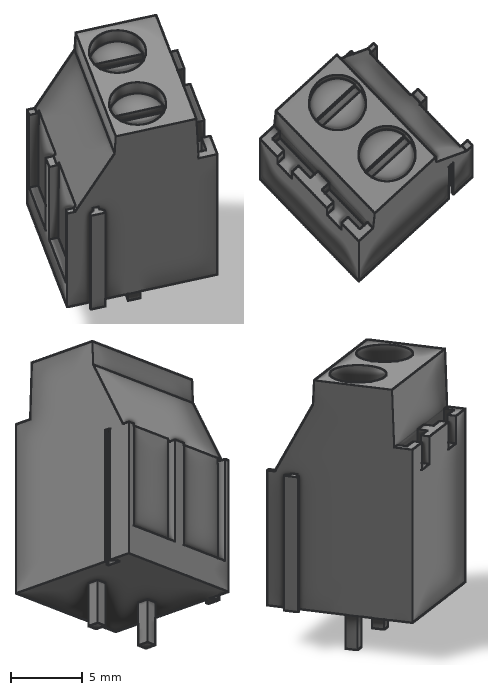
import cadquery as cq


POLES = 2
PITCH = 5.08
BODY_WIDTH = POLES * PITCH
BODY_DEPTH = 11.0
HEIGHT = 20.3
BODY_BOTTOM = 3.25
OVERLAP = 0.2

LEDGE_Z = 13.22
LEDGE_DEPTH = 0.57
SLOPE_TOP_Y = 3.47
SLOPE_TOP_Z = 18.51
ROOF_FRONT_Y = 3.55
ROOF_REAR_Y = 9.45
SHELF_Z = 16.05
SHELF_FRONT_Y = 9.62

WINDOW_WIDTH = 4.18
WINDOW_OFFSET = 0.08
WINDOW_SILL_Z = 5.5
WINDOW_TOP_Z = 13.52
WINDOW_SILL_DEPTH = 0.67
WINDOW_TOP_DEPTH = 0.71

SCREW_DIAMETER = 4.0
SCREW_Y = 5.89
SCREW_SINK = 1.2
DRIVER_SLOT_WIDTH = 0.6
DRIVER_SLOT_DEPTH = 0.6

POCKET_WIDTH = 3.9
POCKET_NECK_WIDTH = 1.48
POCKET_NECK_LENGTH = 0.65
POCKET_DEPTH = 2.03

PIN_WIDTH = 0.8
PIN_DEPTH = 0.91
PIN_Y = 5.55

DOVETAIL_Y = 2.07
DOVETAIL_NECK_WIDTH = 0.45
DOVETAIL_HEAD_WIDTH = 1.08
DOVETAIL_NECK_LENGTH = 0.2
DOVETAIL_FLARE_END = 0.45
DOVETAIL_LENGTH = 0.67

pole_centres = [(pole + 0.5) * PITCH for pole in range(POLES)]


def block(x_centre, width, y_min, y_max, z_min, z_max):
    """Box centred on x_centre, given by its limits along Y and Z."""
    size = (width, y_max - y_min, z_max - z_min)
    return cq.Workplane("XY").box(*size, centered=(True, False, False)).translate((x_centre, y_min, z_min))


def housing():
    """Side profile in the YZ plane, extruded across the poles."""
    profile = [
        (0, BODY_BOTTOM),
        (0, LEDGE_Z),
        (LEDGE_DEPTH, LEDGE_Z),
        (SLOPE_TOP_Y, SLOPE_TOP_Z),
        (ROOF_FRONT_Y, HEIGHT),
        (ROOF_REAR_Y, HEIGHT),
        (SHELF_FRONT_Y, SHELF_Z),
        (BODY_DEPTH, SHELF_Z),
        (BODY_DEPTH, BODY_BOTTOM),
    ]
    return cq.Workplane("YZ").polyline(profile).close().extrude(BODY_WIDTH)


def window(pole_x):
    """Wire-entry recess in the front face."""
    profile = [
        (-OVERLAP, WINDOW_SILL_Z),
        (WINDOW_SILL_DEPTH, WINDOW_SILL_Z),
        (WINDOW_TOP_DEPTH, WINDOW_TOP_Z),
        (-OVERLAP, WINDOW_TOP_Z),
    ]
    left_x = pole_x + WINDOW_OFFSET - WINDOW_WIDTH / 2
    return cq.Workplane("YZ", origin=(left_x, 0, 0)).polyline(profile).close().extrude(WINDOW_WIDTH)


def screw_recess(pole_x):
    """Round recess down to the screw head, with a driver slot across the whole head."""
    head_z = HEIGHT - SCREW_SINK
    slot_bottom = head_z - DRIVER_SLOT_DEPTH
    bore = cq.Workplane("XY", origin=(pole_x, SCREW_Y, slot_bottom)).circle(SCREW_DIAMETER / 2)
    bore = bore.extrude(HEIGHT - slot_bottom)
    radius = SCREW_DIAMETER / 2
    slot = block(pole_x, DRIVER_SLOT_WIDTH, SCREW_Y - radius, SCREW_Y + radius, slot_bottom, HEIGHT)
    above_head = block(pole_x, SCREW_DIAMETER, SCREW_Y - radius, SCREW_Y + radius, head_z, HEIGHT)
    return bore.intersect(slot.union(above_head))


def shelf_pocket(pole_x):
    """T-shaped pocket in the rear shelf, its neck open to the rear face."""
    floor_z = SHELF_Z - POCKET_DEPTH
    head_rear_y = BODY_DEPTH - POCKET_NECK_LENGTH
    head = block(pole_x, POCKET_WIDTH, SHELF_FRONT_Y, head_rear_y, floor_z, SHELF_Z)
    neck = block(pole_x, POCKET_NECK_WIDTH, SHELF_FRONT_Y, BODY_DEPTH, floor_z, SHELF_Z)
    return head.union(neck)


def pin(pole_x):
    """Solder pin below the body."""
    return block(pole_x, PIN_WIDTH, PIN_Y - PIN_DEPTH / 2, PIN_Y + PIN_DEPTH / 2, 0, BODY_BOTTOM + OVERLAP)


def dovetail(face_x):
    """Upright dovetail bar that starts at face_x and widens towards +X."""
    half_neck = DOVETAIL_NECK_WIDTH / 2
    half_head = DOVETAIL_HEAD_WIDTH / 2
    upper_half = [
        (0, half_neck),
        (DOVETAIL_NECK_LENGTH, half_neck),
        (DOVETAIL_FLARE_END, half_head),
        (DOVETAIL_LENGTH, half_head),
    ]
    lower_half = [(x, -y) for x, y in reversed(upper_half)]
    section = cq.Workplane("XY", origin=(face_x, DOVETAIL_Y, BODY_BOTTOM)).polyline(upper_half + lower_half)
    return section.close().extrude(LEDGE_Z - BODY_BOTTOM)


result = housing().cut(dovetail(0)).union(dovetail(BODY_WIDTH))
for pole_x in pole_centres:
    result = result.cut(window(pole_x)).cut(screw_recess(pole_x)).cut(shelf_pocket(pole_x))
    result = result.union(pin(pole_x))